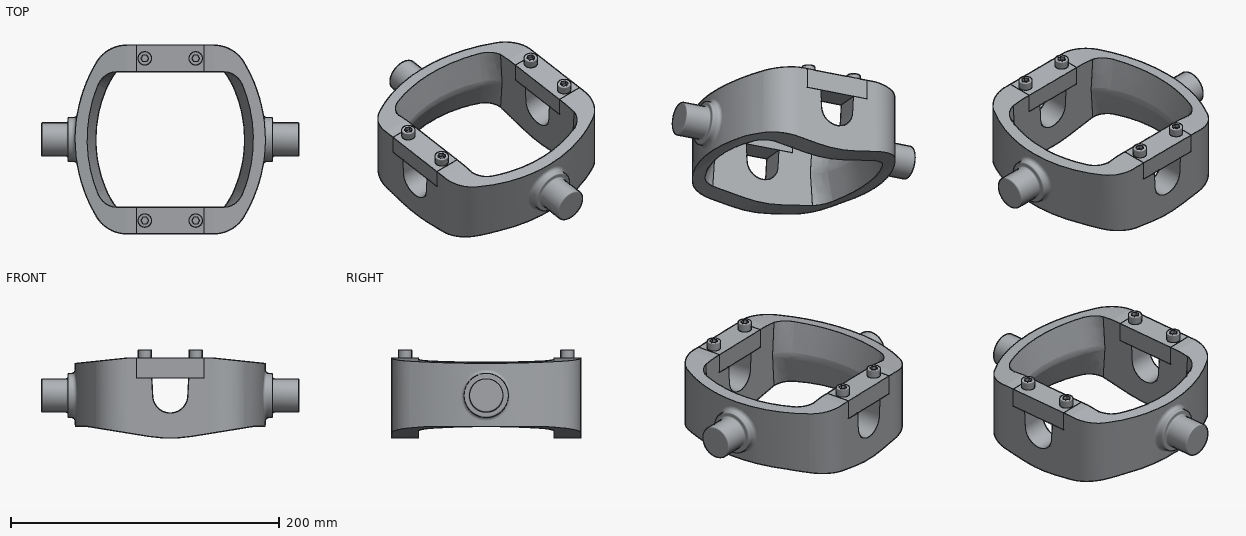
import cadquery as cq
import math


HALF_LENGTH_X = 71.0
HALF_WIDTH_Y = 70.5
FLAT_HALF_X = 32.3
SIDE_RADIUS = 112.0
SIDE_CENTER_X = HALF_LENGTH_X - SIDE_RADIUS

TOP_Z = 28.0
TOP_SLOPE = math.radians(6.0)
BOTTOM_Z = -31.87
BOTTOM_RADIUS = 100.0
BOTTOM_SLOPE = math.radians(9.2)
END_BOTTOM_Z = -23.0

INNER_HALF_Y = 50.5
FLARE_HEIGHT = 33.0
RIDGE_APEX_X = 55.0
RIDGE_CORNER_X = 40.1
RIM_APEX_X = 64.3
RIM_CORNER_X = 42.3
SIDE_HALF_ANGLE = math.radians(23.0)
RIDGE_FILLET = 10.0

TRUNNION_RADIUS = 12.5
TRUNNION_END_X = 96.0
COLLAR_RADIUS = 16.5
COLLAR_FACE_X = 76.4
TRUNNION_FILLET = 1.0
COLLAR_ROOT_FILLET = 2.5
TRUNNION_ROOT_X = 66.0

WINDOW_RADIUS = 13.0
WINDOW_DRAFT = math.radians(3.0)

CAP_LENGTH = 50.0
CAP_HEIGHT = 15.0
CAP_WIDTH = HALF_WIDTH_Y - INNER_HALF_Y
CAP_Y = (HALF_WIDTH_Y + INNER_HALF_Y) / 2
CAP_BOTTOM_Z = TOP_Z - CAP_HEIGHT

SCREW_SPACING = 38.0
SCREW_DIAMETER = 6.0
SCREW_LENGTH = 25.0
HEAD_DIAMETER = 10.0
HEAD_HEIGHT = 6.0
HEAD_FILLET = 0.6
HEX_ACROSS_FLATS = 5.0
HEX_DEPTH = 3.0

SELECT_MARGIN = 1.0

SCREW_POSITIONS = [(sx * SCREW_SPACING / 2, sy * CAP_Y) for sx in (-1, 1) for sy in (-1, 1)]


def outer_block():
    """Solid with the outer plan outline: flat front and back, bowed ends, rounded corners."""
    reach = FLAT_HALF_X - SIDE_CENTER_X
    corner_radius = (SIDE_RADIUS**2 - reach**2 - HALF_WIDTH_Y**2) / (2 * (SIDE_RADIUS - HALF_WIDTH_Y))
    joint_angle = math.atan2(HALF_WIDTH_Y - corner_radius, reach)
    joint_x = SIDE_CENTER_X + SIDE_RADIUS * math.cos(joint_angle)
    joint_y = SIDE_RADIUS * math.sin(joint_angle)
    outline = (
        cq.Workplane("XY", origin=(0, 0, BOTTOM_Z))
        .moveTo(-FLAT_HALF_X, -HALF_WIDTH_Y)
        .lineTo(FLAT_HALF_X, -HALF_WIDTH_Y)
        .tangentArcPoint((joint_x, -joint_y), relative=False)
        .threePointArc((HALF_LENGTH_X, 0), (joint_x, joint_y))
        .tangentArcPoint((FLAT_HALF_X, HALF_WIDTH_Y), relative=False)
        .lineTo(-FLAT_HALF_X, HALF_WIDTH_Y)
        .tangentArcPoint((-joint_x, joint_y), relative=False)
        .threePointArc((-HALF_LENGTH_X, 0), (-joint_x, -joint_y))
        .tangentArcPoint((-FLAT_HALF_X, -HALF_WIDTH_Y), relative=False)
        .close()
    )
    return outline.extrude(TOP_Z - BOTTOM_Z)


def elevation_block():
    """Solid with the XZ profile: sloped shoulders on top, rounded belly below."""
    end_top_z = TOP_Z - (HALF_LENGTH_X - FLAT_HALF_X) * math.tan(TOP_SLOPE)
    belly_x = BOTTOM_RADIUS * math.sin(BOTTOM_SLOPE)
    belly_z = BOTTOM_Z + BOTTOM_RADIUS * (1 - math.cos(BOTTOM_SLOPE))
    level_x = belly_x + (END_BOTTOM_Z - belly_z) / math.tan(BOTTOM_SLOPE)
    return (
        cq.Workplane("XZ")
        .moveTo(-FLAT_HALF_X, TOP_Z)
        .lineTo(FLAT_HALF_X, TOP_Z)
        .lineTo(HALF_LENGTH_X, end_top_z)
        .lineTo(HALF_LENGTH_X, END_BOTTOM_Z)
        .lineTo(level_x, END_BOTTOM_Z)
        .lineTo(belly_x, belly_z)
        .threePointArc((0, BOTTOM_Z), (-belly_x, belly_z))
        .lineTo(-level_x, END_BOTTOM_Z)
        .lineTo(-HALF_LENGTH_X, END_BOTTOM_Z)
        .lineTo(-HALF_LENGTH_X, end_top_z)
        .close()
        .extrude(HALF_WIDTH_Y, both=True)
    )


def opening_half_outline(plane, apex_x, corner_x):
    """Outline of the +X half of the opening: bowed side and tangent corner arcs."""
    radius = apex_x - SIDE_CENTER_X
    joint_x = SIDE_CENTER_X + radius * math.cos(SIDE_HALF_ANGLE)
    joint_y = radius * math.sin(SIDE_HALF_ANGLE)
    chord_x = joint_x - corner_x
    chord_y = INNER_HALF_Y - joint_y
    half_turn = math.atan2(chord_x, chord_y) - SIDE_HALF_ANGLE
    bulge = math.tan(half_turn / 2) / 2
    middle_x = (joint_x + corner_x) / 2 + bulge * chord_y
    middle_y = (joint_y + INNER_HALF_Y) / 2 + bulge * chord_x
    return (
        plane.moveTo(0, -INNER_HALF_Y)
        .lineTo(corner_x, -INNER_HALF_Y)
        .threePointArc((middle_x, -middle_y), (joint_x, -joint_y))
        .threePointArc((apex_x, 0), (joint_x, joint_y))
        .threePointArc((middle_x, middle_y), (corner_x, INNER_HALF_Y))
        .lineTo(0, INNER_HALF_Y)
        .close()
    )


def opening():
    """Cutter for the inside of the frame, waisted at mid-height."""
    ridge = opening_half_outline(cq.Workplane("XY"), RIDGE_APEX_X, RIDGE_CORNER_X)
    rim_plane = ridge.workplane(offset=FLARE_HEIGHT)
    rim = opening_half_outline(rim_plane, RIM_APEX_X, RIM_CORNER_X)
    upper_half = rim.loft(ruled=True, combine=False)
    half = upper_half.union(upper_half.mirror("XY"))
    return half.union(half.mirror("YZ"))


def windows():
    """Cutter for the round-bottomed windows through both cap-carrying walls."""
    tangent_x = WINDOW_RADIUS * math.cos(WINDOW_DRAFT)
    tangent_z = -WINDOW_RADIUS * math.sin(WINDOW_DRAFT)
    top_x = tangent_x + (CAP_BOTTOM_Z - tangent_z) * math.tan(WINDOW_DRAFT)
    return (
        cq.Workplane("XZ")
        .moveTo(-top_x, CAP_BOTTOM_Z)
        .lineTo(-tangent_x, tangent_z)
        .threePointArc((0, -WINDOW_RADIUS), (tangent_x, tangent_z))
        .lineTo(top_x, CAP_BOTTOM_Z)
        .close()
        .extrude(HALF_WIDTH_Y, both=True)
    )


def cap_blank(side):
    """Plain cap block on the +Y or -Y wall."""
    return cq.Workplane("XY", origin=(0, side * CAP_Y, CAP_BOTTOM_Z)).box(
        CAP_LENGTH, CAP_WIDTH, CAP_HEIGHT, centered=(True, True, False)
    )


def screw_holes():
    """Cutter for the screw shanks, from the top of the caps down into the frame."""
    return (
        cq.Workplane("XY", origin=(0, 0, TOP_Z))
        .pushPoints(SCREW_POSITIONS)
        .circle(SCREW_DIAMETER / 2)
        .extrude(-SCREW_LENGTH)
    )


def make_trunnion(side):
    """Collar and shaft on the +X or -X side, with rounded edges."""
    root = cq.Workplane("YZ", origin=(side * TRUNNION_ROOT_X, 0, 0))
    collar = root.circle(COLLAR_RADIUS).extrude(side * (COLLAR_FACE_X - TRUNNION_ROOT_X))
    shaft = root.circle(TRUNNION_RADIUS).extrude(side * (TRUNNION_END_X - TRUNNION_ROOT_X))
    edge_zone = cq.selectors.BoxSelector(
        (side * (COLLAR_FACE_X - SELECT_MARGIN), -COLLAR_RADIUS, -COLLAR_RADIUS),
        (side * (TRUNNION_END_X + SELECT_MARGIN), COLLAR_RADIUS, COLLAR_RADIUS),
    )
    return collar.union(shaft).edges(edge_zone).edges("%CIRCLE").fillet(TRUNNION_FILLET)


def add_trunnion(body, side):
    """Join a trunnion to a bowed wall and round the corner between wall and collar."""
    half_height = -END_BOTTOM_Z - SELECT_MARGIN
    outer_x = COLLAR_FACE_X - TRUNNION_FILLET - SELECT_MARGIN
    joint_zone = cq.selectors.BoxSelector(
        (side * TRUNNION_ROOT_X, -FLAT_HALF_X, -half_height),
        (side * outer_x, FLAT_HALF_X, half_height),
    )
    return body.union(make_trunnion(side)).edges(joint_zone).fillet(COLLAR_ROOT_FILLET)


def round_ridge(body):
    """Round the waist of the opening, where the upper and lower flares meet."""
    for side in (-1, 1):
        ridge_zone = cq.selectors.BoxSelector(
            (side * (RIDGE_CORNER_X - SELECT_MARGIN), -INNER_HALF_Y, -SELECT_MARGIN),
            (side * (RIDGE_APEX_X + SELECT_MARGIN), INNER_HALF_Y, SELECT_MARGIN),
        )
        body = body.edges(ridge_zone).fillet(RIDGE_FILLET)
    return body


def make_frame():
    frame = outer_block().intersect(elevation_block())
    for side in (-1, 1):
        frame = add_trunnion(frame, side)
    frame = round_ridge(frame.cut(opening()))
    frame = frame.cut(windows()).cut(screw_holes())
    for side in (-1, 1):
        frame = frame.cut(cap_blank(side))
    return frame


def make_cap(side):
    return cap_blank(side).cut(screw_holes())


def make_screw(x, y):
    head = (
        cq.Workplane("XY", origin=(x, y, TOP_Z))
        .circle(HEAD_DIAMETER / 2)
        .extrude(HEAD_HEIGHT)
        .faces(">Z")
        .edges()
        .fillet(HEAD_FILLET)
    )
    hex_across_corners = HEX_ACROSS_FLATS / math.cos(math.pi / 6)
    socket = (
        cq.Workplane("XY", origin=(x, y, TOP_Z + HEAD_HEIGHT))
        .polygon(6, hex_across_corners)
        .extrude(-HEX_DEPTH)
    )
    shank = cq.Workplane("XY", origin=(x, y, TOP_Z)).circle(SCREW_DIAMETER / 2).extrude(-SCREW_LENGTH)
    return head.union(shank).cut(socket)


frame = make_frame()
caps = [make_cap(side) for side in (-1, 1)]
screws = [make_screw(x, y) for x, y in SCREW_POSITIONS]

result = cq.Compound.makeCompound(
    [frame.val(), *[cap.val() for cap in caps], *[screw.val() for screw in screws]]
)